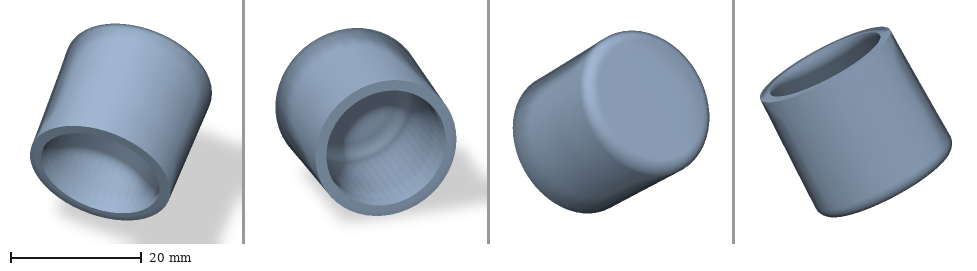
import cadquery as cq

length = 21.1
rim_radius = 23.4 / 2
mouth_radius = 22.55 / 2
bore_radius = 19.1 / 2
edge_rounding = 2.0
floor_thickness = 2.0

shoulder_y = length - edge_rounding
bore_depth = length - floor_thickness


def make_body():
    """Solid tapered body with a quarter-round back edge."""
    profile = (
        cq.Workplane("XY")
        .lineTo(mouth_radius, 0)
        .lineTo(rim_radius, shoulder_y)
        .radiusArc((rim_radius - edge_rounding, length), -edge_rounding)
        .lineTo(0, length)
        .close()
    )
    return profile.revolve(360, (0, 0, 0), (0, 1, 0))


def make_bore():
    """Straight blind bore with a quarter-round at its floor."""
    profile = (
        cq.Workplane("XY")
        .lineTo(bore_radius, 0)
        .lineTo(bore_radius, bore_depth - edge_rounding)
        .radiusArc((bore_radius - edge_rounding, bore_depth), -edge_rounding)
        .lineTo(0, bore_depth)
        .close()
    )
    return profile.revolve(360, (0, 0, 0), (0, 1, 0))


result = make_body().cut(make_bore())